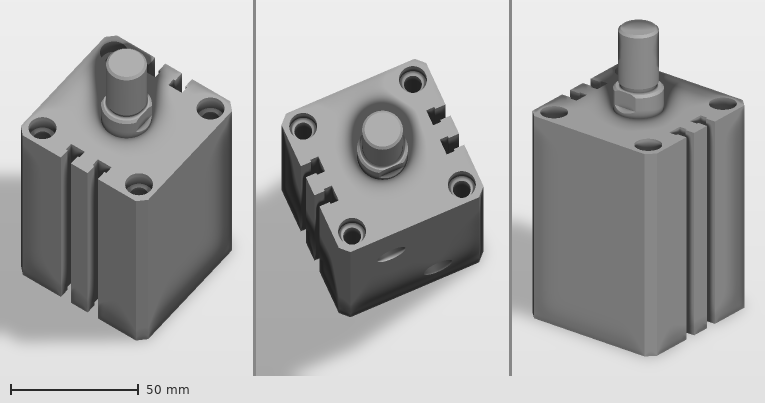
import cadquery as cq

total_height = 123.0
body_width = 62.0
body_height = 88.0
corner_chamfer = 3.5

mount_pitch = 47.0
mount_diameter = 7.0
counterbore_diameter = 11.0
counterbore_depth = 6.5

slot_pitch = 13.0
slot_mouth_width = 4.9
slot_inner_width = 6.6
slot_lip_depth = 4.4
slot_depth = 7.9

port_mouth_diameter = 12.2
port_taper = 1 / 16
port_mouth_depth = 8.0
port_bore_diameter = 11.0
port_depth = 12.0
port_offset = 10.0
upper_port_height = 61.0
lower_port_height = 17.0

collar_diameter = 19.9
collar_height = 10.0
neck_diameter = 14.4
neck_height = 2.0
thread_diameter = 16.0
rod_chamfer = 1.0

flats_width = 17.0
flats_height = 3.1


def make_slot(side, x_center):
    """T-slot cutter; side is -1 for the front face and 1 for the back face."""
    face_y = side * body_width / 2
    mouth = (
        cq.Workplane("XY")
        .center(x_center, face_y - side * slot_depth / 2)
        .rect(slot_mouth_width, slot_depth)
        .extrude(body_height)
    )
    inner_depth = slot_depth - slot_lip_depth
    inner = (
        cq.Workplane("XY")
        .center(x_center, face_y - side * (slot_lip_depth + inner_depth / 2))
        .rect(slot_inner_width, inner_depth)
        .extrude(body_height)
    )
    return mouth.union(inner)


def make_port(y_center, z_center):
    """Blind port cutter running in from the -X face; the taper is the loss of diameter per unit depth."""
    start = cq.Vector(-body_width / 2, y_center, z_center)
    inward = cq.Vector(1, 0, 0)
    mouth_end_diameter = port_mouth_diameter - port_taper * port_mouth_depth
    mouth = cq.Solid.makeCone(
        port_mouth_diameter / 2, mouth_end_diameter / 2, port_mouth_depth, start, inward
    )
    bore = cq.Solid.makeCylinder(port_bore_diameter / 2, port_depth, start, inward)
    return cq.Workplane(obj=mouth).union(cq.Workplane(obj=bore))


def make_housing():
    """Square block with chamfered corners, mounting holes, T-slots and ports."""
    housing = (
        cq.Workplane("XY")
        .rect(body_width, body_width)
        .extrude(body_height)
        .edges("|Z")
        .chamfer(corner_chamfer)
        .faces(">Z")
        .workplane()
        .rect(mount_pitch, mount_pitch, forConstruction=True)
        .vertices()
        .cboreHole(mount_diameter, counterbore_diameter, counterbore_depth)
    )
    for side in (-1, 1):
        for x_center in (-slot_pitch / 2, slot_pitch / 2):
            housing = housing.cut(make_slot(side, x_center))
    housing = housing.cut(make_port(port_offset, upper_port_height))
    housing = housing.cut(make_port(-port_offset, lower_port_height))
    return housing


def make_flat(side):
    """Cutter for one wrench flat; side is -1 or 1 along X."""
    flat_x = flats_width / 2
    outer_x = collar_diameter / 2
    base_z = body_height + flats_height
    top_z = body_height + collar_height
    runout = outer_x - flat_x
    return (
        cq.Workplane("XZ")
        .moveTo(side * flat_x, top_z)
        .lineTo(side * flat_x, base_z)
        .lineTo(side * outer_x, base_z - runout)
        .lineTo(side * outer_x, top_z)
        .close()
        .extrude(collar_diameter / 2, both=True)
    )


def make_rod():
    """Turned rod standing on the housing, with two wrench flats on its collar."""
    collar = (
        cq.Workplane("XY", origin=(0, 0, body_height))
        .circle(collar_diameter / 2)
        .extrude(collar_height)
        .faces(">Z")
        .chamfer(rod_chamfer)
    )
    for side in (-1, 1):
        collar = collar.cut(make_flat(side))

    neck_base = body_height + collar_height
    neck = cq.Workplane("XY", origin=(0, 0, neck_base)).circle(neck_diameter / 2).extrude(neck_height)

    thread_base = neck_base + neck_height
    thread = (
        cq.Workplane("XY", origin=(0, 0, thread_base))
        .circle(thread_diameter / 2)
        .extrude(total_height - thread_base)
        .faces(">Z")
        .chamfer(rod_chamfer)
    )
    return collar.union(neck).union(thread)


housing = make_housing()
rod = make_rod()

result = cq.Compound.makeCompound([housing.val(), rod.val()])